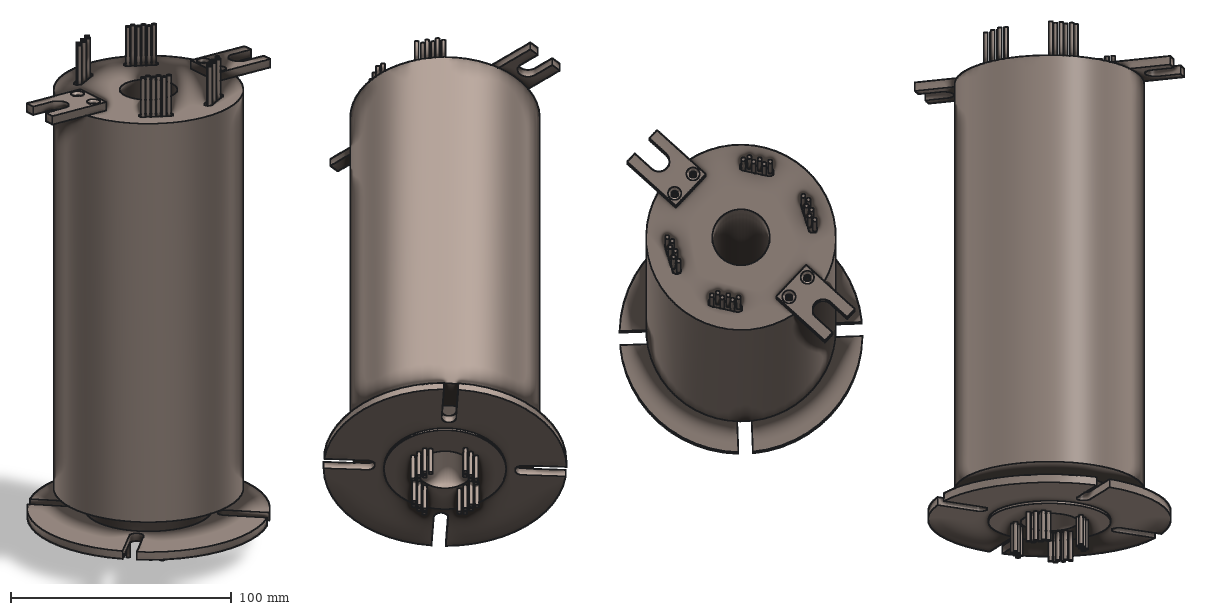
import cadquery as cq
import math

TOTAL_HEIGHT = 240.8
BOSS_BOTTOM = 13.7
FLANGE_BOTTOM = 15.0
FLANGE_THICKNESS = 3.9
COLLAR_TOP = 27.2
BODY_BOTTOM = 28.7
BODY_TOP = 222.0

BOSS_DIAMETER = 55.5
FLANGE_DIAMETER = 110.0
COLLAR_DIAMETER = 58.0
NECK_DIAMETER = 44.8
BODY_DIAMETER = 86.0
BORE_DIAMETER = 26.0

SLOT_COUNT = 4
SLOT_WIDTH = 6.5
SLOT_INNER_RADIUS = 31.8
SLOT_FIRST_ANGLE = 45.0

LUG_WIDTH = 20.0
LUG_THICKNESS = 4.0
LUG_OUTER_SPAN = 122.0
LUG_OUTER_REACH = LUG_OUTER_SPAN / 2
LUG_LENGTH = 30.0
LUG_INNER_REACH = LUG_OUTER_REACH - LUG_LENGTH
FORK_WIDTH = 9.6
FORK_DEPTH = 15.2
SCREW_SPACING = 12.3
SCREW_EDGE_DISTANCE = 4.3
SCREW_HOLE_DIAMETER = 3.1
COUNTERSINK_DIAMETER = 6.0
COUNTERSINK_ANGLE = 90.0
PILOT_DIAMETER = 2.0
PILOT_DEPTH = 7.2

WIRE_DIAMETER = 2.0
WIRES_PER_GROUP = 6
WIRE_ROOT = 2.5
TOP_WIRE_RADIUS = 32.3
TOP_WIRE_PITCH = 2.5
TOP_WIRE_STAGGER = 1.7
TOP_GROUP_ANGLES = (30.0, 150.0, 210.0, 330.0)
WIRE_SLOT_LENGTH = 15.7
WIRE_SLOT_WIDTH = 3.9
WIRE_SLOT_DEPTH = 2.5
BOTTOM_WIRE_RADIUS = 15.7
BOTTOM_WIRE_PITCH = 1.8
BOTTOM_WIRE_STAGGER = 2.0
BOTTOM_GROUP_ANGLES = (0.0, 90.0, 180.0, 270.0)


def cylinder(diameter, bottom, top):
    return cq.Workplane("XY").workplane(offset=bottom).circle(diameter / 2).extrude(top - bottom)


def rods(points, diameter, bottom, top):
    return (
        cq.Workplane("XY")
        .workplane(offset=bottom)
        .pushPoints(points)
        .circle(diameter / 2)
        .extrude(top - bottom)
    )


def make_flange():
    flange_top = FLANGE_BOTTOM + FLANGE_THICKNESS
    flange = cylinder(FLANGE_DIAMETER, FLANGE_BOTTOM, flange_top)
    arc_center = SLOT_INNER_RADIUS + SLOT_WIDTH / 2
    slot_length = FLANGE_DIAMETER / 2
    slot = (
        cq.Workplane("XY")
        .workplane(offset=FLANGE_BOTTOM)
        .center(arc_center + slot_length / 2, 0)
        .slot2D(slot_length + SLOT_WIDTH, SLOT_WIDTH)
        .extrude(FLANGE_THICKNESS)
    )
    for index in range(SLOT_COUNT):
        angle = SLOT_FIRST_ANGLE + index * 360 / SLOT_COUNT
        flange = flange.cut(slot.rotate((0, 0, 0), (0, 0, 1), angle))
    return flange


def screw_points():
    screw_y = LUG_INNER_REACH + SCREW_EDGE_DISTANCE
    return [(-SCREW_SPACING / 2, screw_y), (SCREW_SPACING / 2, screw_y)]


def make_lug():
    """Forked lug on the +Y side, its open end pointing outward."""
    fork_bottom = LUG_OUTER_REACH - FORK_DEPTH
    fork_arc_center = fork_bottom + FORK_WIDTH / 2
    lug = (
        cq.Workplane("XY")
        .workplane(offset=BODY_TOP)
        .moveTo(-LUG_WIDTH / 2, LUG_INNER_REACH)
        .lineTo(LUG_WIDTH / 2, LUG_INNER_REACH)
        .lineTo(LUG_WIDTH / 2, LUG_OUTER_REACH)
        .lineTo(FORK_WIDTH / 2, LUG_OUTER_REACH)
        .lineTo(FORK_WIDTH / 2, fork_arc_center)
        .threePointArc((0, fork_bottom), (-FORK_WIDTH / 2, fork_arc_center))
        .lineTo(-FORK_WIDTH / 2, LUG_OUTER_REACH)
        .lineTo(-LUG_WIDTH / 2, LUG_OUTER_REACH)
        .close()
        .extrude(LUG_THICKNESS)
    )
    return (
        lug.faces(">Z")
        .workplane(origin=(0, 0, BODY_TOP + LUG_THICKNESS))
        .pushPoints(screw_points())
        .cskHole(SCREW_HOLE_DIAMETER, COUNTERSINK_DIAMETER, COUNTERSINK_ANGLE)
    )


def group_points(group_angle, radius, pitch, stagger):
    """Centres of one wire group, laid square to the radius in a zigzag."""
    direction = math.radians(group_angle)
    points = []
    for index in range(WIRES_PER_GROUP):
        along = (index - (WIRES_PER_GROUP - 1) / 2) * pitch
        out = radius + (stagger / 2 if index % 2 == 0 else -stagger / 2)
        x = out * math.cos(direction) - along * math.sin(direction)
        y = out * math.sin(direction) + along * math.cos(direction)
        points.append((x, y))
    return points


def make_wire_slot():
    """Cutter for the round-ended slot around a top wire group, on the +X axis."""
    return (
        cq.Workplane("XY")
        .workplane(offset=BODY_TOP - WIRE_SLOT_DEPTH)
        .center(TOP_WIRE_RADIUS, 0)
        .slot2D(WIRE_SLOT_LENGTH, WIRE_SLOT_WIDTH, 90)
        .extrude(WIRE_SLOT_DEPTH)
    )


result = (
    cylinder(BOSS_DIAMETER, BOSS_BOTTOM, FLANGE_BOTTOM)
    .union(make_flange())
    .union(cylinder(COLLAR_DIAMETER, FLANGE_BOTTOM, COLLAR_TOP))
    .union(cylinder(NECK_DIAMETER, COLLAR_TOP, BODY_BOTTOM))
    .union(cylinder(BODY_DIAMETER, BODY_BOTTOM, BODY_TOP))
    .cut(cylinder(BORE_DIAMETER, 0, TOTAL_HEIGHT))
)

lug = make_lug()
pilots = rods(screw_points(), PILOT_DIAMETER, BODY_TOP - PILOT_DEPTH, BODY_TOP)
result = result.cut(pilots).cut(pilots.mirror("XZ"))
result = result.union(lug).union(lug.mirror("XZ"))

wire_slot = make_wire_slot()
slot_floor = BODY_TOP - WIRE_SLOT_DEPTH
for angle in TOP_GROUP_ANGLES:
    result = result.cut(wire_slot.rotate((0, 0, 0), (0, 0, 1), angle))
    points = group_points(angle, TOP_WIRE_RADIUS, TOP_WIRE_PITCH, TOP_WIRE_STAGGER)
    result = result.union(rods(points, WIRE_DIAMETER, slot_floor - WIRE_ROOT, TOTAL_HEIGHT))

for angle in BOTTOM_GROUP_ANGLES:
    points = group_points(angle, BOTTOM_WIRE_RADIUS, BOTTOM_WIRE_PITCH, BOTTOM_WIRE_STAGGER)
    result = result.union(rods(points, WIRE_DIAMETER, 0, BOSS_BOTTOM + WIRE_ROOT))